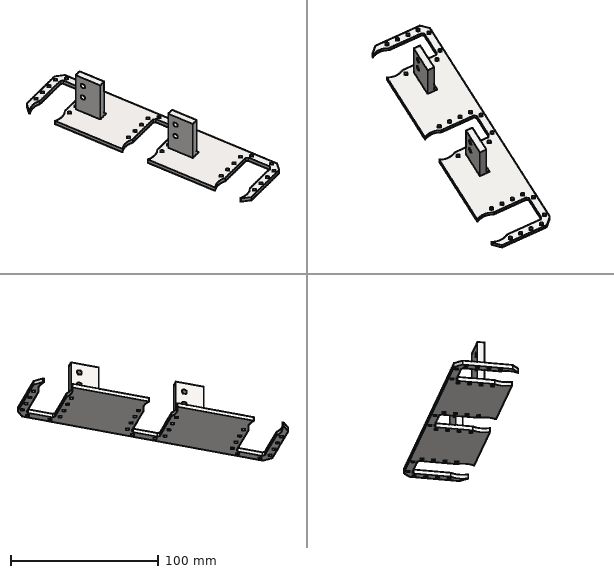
import cadquery as cq

PLATE_LENGTH = 182.0
PLATE_DEPTH = 44.5
PLATE_THICKNESS = 3.0
PLATE_CORNER_CHAMFER = 5.0
BACK_Y = PLATE_DEPTH / 2
FRONT_Y = -BACK_Y

CUTOUT_PITCH = 75.0
CUTOUT_CENTERS = [-CUTOUT_PITCH, 0.0, CUTOUT_PITCH]
CUTOUT_WIDTH = 20.0
CUTOUT_CORNER_CHAMFER = 1.25
BACK_RAIL_WIDTH = 5.5
CUTOUT_BACK_Y = BACK_Y - BACK_RAIL_WIDTH
BULGE_DIAMETER = 23.5
BULGE_CENTER_Y = FRONT_Y + 6.0

MOUNT_HOLE_DIAMETER = 2.4
BACK_HOLE_OFFSET_X = 8.0
BACK_HOLE_Y = BACK_Y - 2.5
SIDE_HOLE_OFFSET_X = 13.5
SIDE_HOLE_COUNT = 4
SIDE_HOLE_PITCH = 8.0
FIRST_SIDE_HOLE_Y = BACK_Y - 7.75

TAB_WIDTH = 20.0
TAB_THICKNESS = 5.0
TAB_HEIGHT = 30.0
TAB_OFFSET_X = 15.0
TAB_BACK_Y = BACK_Y - 21.5
TAB_FRONT_Y = TAB_BACK_Y - TAB_THICKNESS
FOOT_SIZE = 2.5
TAB_HOLE_DIAMETER = 3.5
TAB_HOLE_INSET_X = 6.0
TAB_HOLE_PITCH = 10.0
TOP_TAB_HOLE_Z = PLATE_THICKNESS + TAB_HEIGHT - 7.0
TAB_HOLE_HEIGHTS = [TOP_TAB_HOLE_Z, TOP_TAB_HOLE_Z - TAB_HOLE_PITCH]


def make_plate():
    """Rectangular plate with its four outer corners chamfered."""
    return (
        cq.Workplane("XY")
        .rect(PLATE_LENGTH, PLATE_DEPTH)
        .extrude(PLATE_THICKNESS)
        .edges("|Z")
        .chamfer(PLATE_CORNER_CHAMFER)
    )


def make_cutout(center_x):
    """Slot with chamfered back corners that widens into a round bulge at the front."""
    slot_length = CUTOUT_BACK_Y - FRONT_Y
    slot = (
        cq.Workplane("XY")
        .center(center_x, CUTOUT_BACK_Y - slot_length / 2)
        .rect(CUTOUT_WIDTH, slot_length)
        .extrude(PLATE_THICKNESS)
        .edges("|Z and >Y")
        .chamfer(CUTOUT_CORNER_CHAMFER)
    )
    bulge = (
        cq.Workplane("XY")
        .center(center_x, BULGE_CENTER_Y)
        .circle(BULGE_DIAMETER / 2)
        .extrude(PLATE_THICKNESS)
    )
    return slot.union(bulge)


def mount_hole_points(center_x):
    """Hole centres around one cut-out: two behind it and a row along each side."""
    points = []
    for side in (-1, 1):
        points.append((center_x + side * BACK_HOLE_OFFSET_X, BACK_HOLE_Y))
        for index in range(SIDE_HOLE_COUNT):
            hole_y = FIRST_SIDE_HOLE_Y - index * SIDE_HOLE_PITCH
            points.append((center_x + side * SIDE_HOLE_OFFSET_X, hole_y))
    return points


def make_mount_holes(center_x):
    return (
        cq.Workplane("XY")
        .pushPoints(mount_hole_points(center_x))
        .circle(MOUNT_HOLE_DIAMETER / 2)
        .extrude(PLATE_THICKNESS)
    )


def make_tab(left_x):
    """Upright tab standing on the plate, with two through holes along Y."""
    top_z = PLATE_THICKNESS + TAB_HEIGHT
    profile = [
        (TAB_FRONT_Y, PLATE_THICKNESS),
        (TAB_FRONT_Y, top_z),
        (TAB_BACK_Y, top_z),
        (TAB_BACK_Y, PLATE_THICKNESS + FOOT_SIZE),
        (TAB_BACK_Y + FOOT_SIZE, PLATE_THICKNESS),
    ]
    tab = cq.Workplane("YZ", origin=(left_x, 0, 0)).polyline(profile).close().extrude(TAB_WIDTH)
    holes = (
        cq.Workplane("XZ", origin=(0, TAB_FRONT_Y, 0))
        .pushPoints([(left_x + TAB_HOLE_INSET_X, height) for height in TAB_HOLE_HEIGHTS])
        .circle(TAB_HOLE_DIAMETER / 2)
        .extrude(-TAB_THICKNESS)
    )
    return tab.cut(holes)


result = make_plate()
for cutout_x in CUTOUT_CENTERS:
    result = result.cut(make_cutout(cutout_x))
    result = result.cut(make_mount_holes(cutout_x))

for cutout_x in CUTOUT_CENTERS[:-1]:
    result = result.union(make_tab(cutout_x + TAB_OFFSET_X))